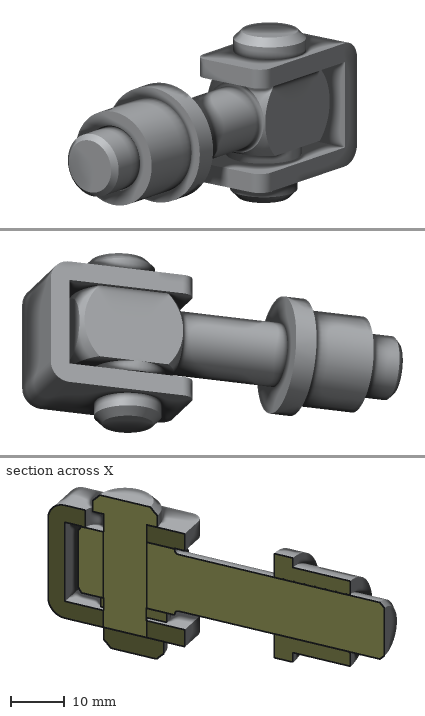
import cadquery as cq
import math


rod_diameter = 12.0
rod_chamfer = 1.0
neck_fillet = 0.7
rod_reach = 53.8
ball_radius = 12.0
shoulder_offset = 9.9
eye_width = 14.0
eye_height = 14.0

flange_diameter = 22.0
flange_thickness = 4.0
sleeve_diameter = 18.0
sleeve_length = 12.0
sleeve_bore_chamfer = 0.25
sleeve_front = -46.65

bracket_width = 16.0
bracket_length = 28.7
plate_thickness = 3.65
bracket_gap = 16.5
bracket_back = 16.75
arm_corner_radius = 2.5
arm_hole_diameter = 4.5
arm_hole_offset = 6.0

pin_diameter = 9.0
pin_y = bracket_back - 16.2
head_diameter = 13.6
head_height = 3.9
bush_diameter = 14.0
bush_height = 1.95
bush_y = bracket_back - 18.0
cap_diameter = 12.6
cap_height = 4.0
head_chamfer = 1.5

eye_top = eye_height / 2
eye_bottom = -eye_height / 2
bracket_top = eye_top + plate_thickness
bracket_bottom = eye_top - bracket_gap - plate_thickness
bracket_height = bracket_top - bracket_bottom
bracket_front = bracket_back - bracket_length


def cylinder_z(diameter, y, z_bottom, z_top):
    """Upright cylinder centred on X = 0."""
    base = cq.Workplane("XY", origin=(0, y, z_bottom))
    return base.circle(diameter / 2).extrude(z_top - z_bottom)


def cylinder_y(diameter, y_start, length):
    """Cylinder on the rod axis, running toward -Y from y_start."""
    return cq.Workplane("XZ", origin=(0, y_start, 0)).circle(diameter / 2).extrude(length)


def pin_bore():
    """Cutter for the holes through which the hinge pin passes."""
    return cylinder_z(pin_diameter, pin_y, bracket_bottom, bracket_top)


def make_rod():
    """Ball eye with flat ends, trimmed to a square section, and a shank with a filleted neck."""
    rod_radius = rod_diameter / 2
    ball_back = math.sqrt(ball_radius**2 - rod_radius**2)
    shoulder_radius = math.sqrt(ball_radius**2 - shoulder_offset**2)
    neck_y = -shoulder_offset - neck_fillet
    neck_sag = neck_fillet * (1 - math.sqrt(0.5))
    neck_middle = (rod_radius + neck_sag, -shoulder_offset - neck_sag)
    ball = (
        cq.Workplane("XY")
        .moveTo(0, neck_y)
        .lineTo(rod_radius, neck_y)
        .threePointArc(neck_middle, (rod_radius + neck_fillet, -shoulder_offset))
        .lineTo(shoulder_radius, -shoulder_offset)
        .threePointArc((ball_radius, 0), (rod_radius, ball_back))
        .lineTo(0, ball_back)
        .close()
        .revolve(360, (0, 0), (0, 1))
    )
    eye = ball.intersect(cq.Workplane("XY").box(eye_width, 2 * ball_radius, eye_height))
    shank = cylinder_y(rod_diameter, 0, rod_reach).faces("<Y").chamfer(rod_chamfer)
    return eye.union(shank).cut(pin_bore())


def make_sleeve():
    """Flange and sleeve with a bore for the rod, eased at the front mouth."""
    flange_front = sleeve_front + sleeve_length
    flange = cylinder_y(flange_diameter, flange_front + flange_thickness, flange_thickness)
    sleeve = flange.union(cylinder_y(sleeve_diameter, flange_front, sleeve_length))
    bored = sleeve.faces("<Y").workplane().hole(rod_diameter)
    mouth = cq.selectors.RadiusNthSelector(0)
    return bored.faces("<Y").edges(mouth).chamfer(sleeve_bore_chamfer)


def make_bracket():
    """Bent strip with rounded outer bends, sharp inner corners and rounded arm ends."""
    length_middle = (bracket_back + bracket_front) / 2
    height_middle = (bracket_top + bracket_bottom) / 2
    block = (
        cq.Workplane("XY", origin=(0, length_middle, height_middle))
        .box(bracket_width, bracket_length, bracket_height)
        .faces(">Y").edges("|X").fillet(plate_thickness)
        .faces("<Y").edges("|Z").fillet(arm_corner_radius)
    )
    opening = cq.Workplane("XY", origin=(0, length_middle - plate_thickness, height_middle)).box(
        bracket_width, bracket_length, bracket_gap
    )
    arm_hole = cylinder_z(arm_hole_diameter, pin_y + arm_hole_offset, eye_top, bracket_top)
    return block.cut(opening).cut(pin_bore()).cut(arm_hole)


def make_pin():
    """Headed pin that ends flush with the underside of the bracket."""
    head = cylinder_z(head_diameter, pin_y, bracket_top, bracket_top + head_height)
    return head.faces(">Z").chamfer(head_chamfer).union(pin_bore())


def make_bush():
    """Disc under the eye, off-centre on the pin."""
    return cylinder_z(bush_diameter, bush_y, eye_bottom - bush_height, eye_bottom).cut(pin_bore())


def make_cap():
    """Chamfered disc under the bracket, in line with the bush."""
    disc = cylinder_z(cap_diameter, bush_y, bracket_bottom - cap_height, bracket_bottom)
    return disc.faces("<Z").chamfer(head_chamfer)


rod = make_rod()
sleeve = make_sleeve()
bracket = make_bracket()
pin = make_pin()
bush = make_bush()
cap = make_cap()

result = cq.Compound.makeCompound(
    [rod.val(), sleeve.val(), bracket.val(), pin.val(), bush.val(), cap.val()]
)